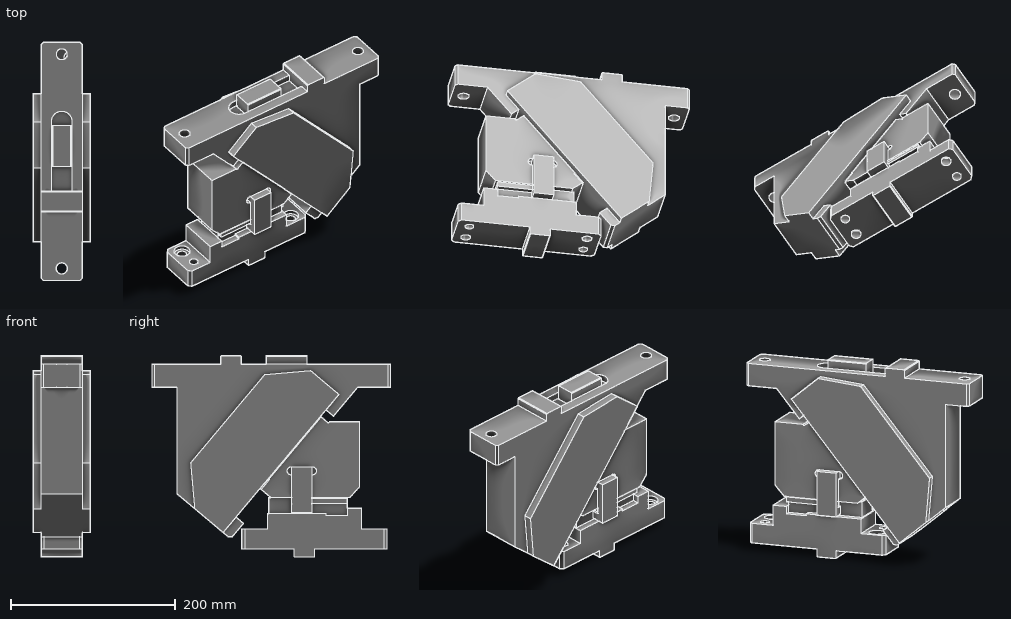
import cadquery as cq
import math


BODY_WIDTH = 50.2
OVERALL_WIDTH = 70.0
KEY_LENGTH = 25.2
KEY_CHAMFER = 1.0

SLOPE_ANGLE = 50
SLOPE_TOP_Y = 82.5
SLOPE_TOP_Z = -36.8
SLOPE_COS = math.cos(math.radians(SLOPE_ANGLE))
SLOPE_SIN = math.sin(math.radians(SLOPE_ANGLE))
FLANGE_DEPTH = 12.0

PLATE_LENGTH = 290.0
PLATE_THICKNESS = 28.0
PLATE_CORNER = 3.0
HOLDER_FRONT_Y = -114.8
HOLDER_BOTTOM_Z = -210.0
CHEEK_LENGTH = 219.2
CHEEK_HEIGHT = 84.7
CHEEK_CORNER = 39.7
RECESS_START = 24.6
RECESS_END = 194.5
HOLDER_KEY_BACK_Y = -36.2
HOLDER_KEY_HEIGHT = 10.5
SLOT_WIDTH = 25.2
SLOT_DEPTH = 8.7
SLOT_BACK_Y = 61.0
BLOCK_WIDTH = 23.5
BLOCK_LENGTH = 50.0
BLOCK_CENTER_Y = 18.5
PLATE_HOLE_DIAMETER = 13.3
PLATE_HOLE_SPACING = 260.5

SLIDER_BACK_Y = 107.3
SLIDER_TOP_Z = -70.0
SLIDER_BOTTOM_Z = -162.5
SLIDER_CORNER_LENGTH = 12.0
SLIDER_CORNER_HEIGHT = 13.0
SLIDER_SHOULDER_DEPTH = 12.5
SLIDER_START = 34.8
SLIDER_RELIEF_START = 133.5
SLIDER_END = 149.4
SLIDER_EDGE_CHAMFER = 1.0
RELIEF_SIZE = 1.7

HOOK_CENTER_Y = 37.0
HOOK_LENGTH = 24.6
HOOK_TOP_Z = -125.0
HOOK_BOTTOM_Z = -180.0
HOOK_OUTER_X = 33.5
HOOK_POCKET_LENGTH = 35.7
HOOK_POCKET_HEIGHT = 9.5
HOOK_POCKET_DEPTH = 5.8
FOOT_CLEARANCE = 1.0

BASE_BACK_Y = 141.0
BASE_LENGTH = 177.0
BASE_TOP_Z = -200.0
BASE_THICKNESS = 24.6
BASE_CORNER = 3.8
BASE_KEY_BACK_Y = 52.8
BASE_KEY_HEIGHT = 10.0
RISER_BACK_Y = 110.0
RISER_FRONT_Y = -4.5
STOP_TOP_Z = -175.0
GROOVE_FLOOR_Z = -184.2
GROOVE_FRONT_Y = 66.7
LEDGE_Z = -181.8
RAIL_BACK_Y = 92.5
RAIL_FRONT_Y = -3.2
WEB_WIDTH = 34.2
HEAD_WIDTH = 47.5
HEAD_TOP_Z = -163.3
HEAD_BOTTOM_Z = -169.5
HEAD_FRONT_Y = 26.7
BASE_HOLE_INSET = 15.7
BASE_HOLE_OFFSET_X = 12.2
DOWEL_HOLE_DIAMETER = 10.5
SCREW_HOLE_DIAMETER = 11.5
COUNTERBORE_DIAMETER = 19.0
COUNTERBORE_DEPTH = 5.2


def on_slope(along, out):
    """(Y, Z) of a point given in the inclined frame."""
    y = SLOPE_TOP_Y - along * SLOPE_COS - out * SLOPE_SIN
    z = SLOPE_TOP_Z - along * SLOPE_SIN + out * SLOPE_COS
    return y, z


def slope_point_at_z(along, z):
    """Point at height z on the line across the slope at the given distance along it."""
    out = (z - SLOPE_TOP_Z + along * SLOPE_SIN) / SLOPE_COS
    return on_slope(along, out)


def slope_point_at_y(along, y):
    """Point at position y on the line across the slope at the given distance along it."""
    out = (SLOPE_TOP_Y - y - along * SLOPE_COS) / SLOPE_SIN
    return on_slope(along, out)


def parallel_point_at_z(out, z):
    """Point at height z on the line parallel to the slope at the given offset."""
    along = (SLOPE_TOP_Z + out * SLOPE_COS - z) / SLOPE_SIN
    return on_slope(along, out)


def profile(points, width):
    """Prism of a Y-Z outline, centred on X = 0."""
    return cq.Workplane("YZ").polyline(points).close().extrude(width / 2, both=True)


def box(x_min, x_max, y_min, y_max, z_min, z_max):
    size = (x_max - x_min, y_max - y_min, z_max - z_min)
    return cq.Workplane("XY").box(*size, centered=False).translate((x_min, y_min, z_min))


def centred_box(width, y_min, y_max, z_min, z_max):
    return box(-width / 2, width / 2, y_min, y_max, z_min, z_max)


def make_holder():
    half_length = PLATE_LENGTH / 2
    half_slot = SLOT_WIDTH / 2
    key_front_y = HOLDER_KEY_BACK_Y - KEY_LENGTH

    plate = centred_box(BODY_WIDTH, -half_length, half_length, -PLATE_THICKNESS, 0)
    plate = plate.edges("|Z").chamfer(PLATE_CORNER)
    core = profile(
        [
            (HOLDER_FRONT_Y, -PLATE_THICKNESS),
            parallel_point_at_z(-FLANGE_DEPTH, -PLATE_THICKNESS),
            on_slope(RECESS_START, -FLANGE_DEPTH),
            on_slope(RECESS_START, 0),
            on_slope(RECESS_END, 0),
            on_slope(RECESS_END, -FLANGE_DEPTH),
            parallel_point_at_z(-FLANGE_DEPTH, HOLDER_BOTTOM_Z),
            slope_point_at_z(CHEEK_LENGTH, HOLDER_BOTTOM_Z),
            slope_point_at_y(CHEEK_LENGTH, HOLDER_FRONT_Y),
        ],
        BODY_WIDTH,
    )
    cheeks = profile(
        [
            on_slope(0, 0),
            on_slope(0, CHEEK_HEIGHT - CHEEK_CORNER),
            on_slope(CHEEK_CORNER, CHEEK_HEIGHT),
            on_slope(CHEEK_LENGTH - CHEEK_CORNER, CHEEK_HEIGHT),
            on_slope(CHEEK_LENGTH, CHEEK_HEIGHT - CHEEK_CORNER),
            on_slope(CHEEK_LENGTH, 0),
        ],
        OVERALL_WIDTH,
    )
    key = centred_box(BODY_WIDTH, key_front_y, HOLDER_KEY_BACK_Y, 0, HOLDER_KEY_HEIGHT)
    key = key.edges("|X and >Z").chamfer(KEY_CHAMFER)
    holder = plate.union(core).union(cheeks).union(key)

    slot = (
        cq.Workplane("XY")
        .moveTo(-half_slot, HOLDER_KEY_BACK_Y)
        .lineTo(half_slot, HOLDER_KEY_BACK_Y)
        .lineTo(half_slot, SLOT_BACK_Y - half_slot)
        .threePointArc((0, SLOT_BACK_Y), (-half_slot, SLOT_BACK_Y - half_slot))
        .close()
        .extrude(-SLOT_DEPTH)
    )
    holder = holder.cut(slot)

    block = centred_box(
        BLOCK_WIDTH,
        BLOCK_CENTER_Y - BLOCK_LENGTH / 2,
        BLOCK_CENTER_Y + BLOCK_LENGTH / 2,
        -SLOT_DEPTH,
        HOLDER_KEY_HEIGHT,
    )
    holder = holder.union(block.edges("|Y and >Z").chamfer(KEY_CHAMFER))

    holes = (
        cq.Workplane("XY")
        .rarray(3, PLATE_HOLE_SPACING, 1, 2)
        .circle(PLATE_HOLE_DIAMETER / 2)
        .extrude(-PLATE_THICKNESS)
    )
    return holder.cut(holes)


def make_hook():
    """Return hook on the -X side: a strap, a tab into the slider pocket and a foot under the rail head."""
    front_y = HOOK_CENTER_Y - HOOK_LENGTH / 2
    back_y = HOOK_CENTER_Y + HOOK_LENGTH / 2
    slider_side_x = -BODY_WIDTH / 2
    tab_inner_x = slider_side_x + HOOK_POCKET_DEPTH
    foot_top_z = HEAD_BOTTOM_Z - FOOT_CLEARANCE

    strap = box(-HOOK_OUTER_X, slider_side_x, front_y, back_y, HOOK_BOTTOM_Z, HOOK_TOP_Z)
    tab = box(slider_side_x, tab_inner_x, front_y, back_y, HOOK_TOP_Z - HOOK_POCKET_HEIGHT, HOOK_TOP_Z)
    foot = box(slider_side_x, -WEB_WIDTH / 2, front_y, back_y, HOOK_BOTTOM_Z, foot_top_z)
    return strap.union(tab).union(foot)


def make_hook_pocket():
    """Round-ended pocket for the hook tab on the -X side of the slider."""
    return (
        cq.Workplane("YZ", origin=(-BODY_WIDTH / 2, HOOK_CENTER_Y, HOOK_TOP_Z - HOOK_POCKET_HEIGHT / 2))
        .slot2D(HOOK_POCKET_LENGTH, HOOK_POCKET_HEIGHT)
        .extrude(HOOK_POCKET_DEPTH)
    )


def make_slider():
    slider = profile(
        [
            (SLIDER_BACK_Y, SLIDER_TOP_Z),
            parallel_point_at_z(-SLIDER_SHOULDER_DEPTH, SLIDER_TOP_Z),
            on_slope(SLIDER_START, -SLIDER_SHOULDER_DEPTH),
            on_slope(SLIDER_START, 0),
            on_slope(SLIDER_END, 0),
            slope_point_at_z(SLIDER_END, SLIDER_BOTTOM_Z),
            (SLIDER_BACK_Y - SLIDER_CORNER_LENGTH, SLIDER_BOTTOM_Z),
            (SLIDER_BACK_Y, SLIDER_BOTTOM_Z + SLIDER_CORNER_HEIGHT),
        ],
        BODY_WIDTH,
    )

    middle_y, middle_z = on_slope((SLIDER_START + SLIDER_END) / 2, 0)
    for side_x in (-BODY_WIDTH / 2, BODY_WIDTH / 2):
        long_edge = cq.NearestToPointSelector((side_x, middle_y, middle_z))
        slider = slider.edges(long_edge).chamfer(SLIDER_EDGE_CHAMFER)
    relief_outline = [
        on_slope(SLIDER_RELIEF_START, 0),
        on_slope(SLIDER_END, 0),
        on_slope(SLIDER_END, -RELIEF_SIZE),
        on_slope(SLIDER_RELIEF_START, -RELIEF_SIZE),
    ]
    relief = profile(relief_outline, BODY_WIDTH)
    slider = slider.cut(relief.cut(profile(relief_outline, BODY_WIDTH - 2 * RELIEF_SIZE)))

    pocket = make_hook_pocket()
    hook = make_hook()
    slider = slider.cut(pocket).cut(pocket.mirror("YZ"))
    return slider.union(hook).union(hook.mirror("YZ"))


def base_bores(places, diameter, depth):
    """Vertical bores going down from the top of the base plate."""
    plane = cq.Workplane("XY", origin=(0, 0, BASE_TOP_Z))
    return plane.pushPoints(places).circle(diameter / 2).extrude(-depth)


def make_base():
    base_front_y = BASE_BACK_Y - BASE_LENGTH
    base_bottom_z = BASE_TOP_Z - BASE_THICKNESS

    plate = centred_box(BODY_WIDTH, base_front_y, BASE_BACK_Y, base_bottom_z, BASE_TOP_Z)
    plate = plate.edges("|Z").chamfer(BASE_CORNER)
    riser = profile(
        [
            (RISER_BACK_Y, BASE_TOP_Z),
            (RISER_BACK_Y, STOP_TOP_Z),
            (RAIL_BACK_Y, STOP_TOP_Z),
            (RAIL_BACK_Y, GROOVE_FLOOR_Z),
            (GROOVE_FRONT_Y, GROOVE_FLOOR_Z),
            (GROOVE_FRONT_Y, LEDGE_Z),
            (RISER_FRONT_Y, LEDGE_Z),
            (RISER_FRONT_Y, BASE_TOP_Z),
        ],
        BODY_WIDTH,
    )
    key = centred_box(
        BODY_WIDTH,
        BASE_KEY_BACK_Y - KEY_LENGTH,
        BASE_KEY_BACK_Y,
        base_bottom_z - BASE_KEY_HEIGHT,
        base_bottom_z,
    )
    key = key.edges("|X and <Z").chamfer(KEY_CHAMFER)

    web = centred_box(WEB_WIDTH, RAIL_FRONT_Y, RAIL_BACK_Y, GROOVE_FLOOR_Z, HEAD_TOP_Z)
    head = centred_box(HEAD_WIDTH, HEAD_FRONT_Y, RAIL_BACK_Y, HEAD_BOTTOM_Z, HEAD_TOP_Z)
    pad = centred_box(WEB_WIDTH, RAIL_FRONT_Y, HEAD_FRONT_Y, HEAD_TOP_Z, SLIDER_BOTTOM_Z)
    base = plate.union(riser).union(key).union(web).union(head).union(pad)

    back_hole_y = BASE_BACK_Y - BASE_HOLE_INSET
    front_hole_y = base_front_y + BASE_HOLE_INSET
    dowel_places = [(-BASE_HOLE_OFFSET_X, back_hole_y), (BASE_HOLE_OFFSET_X, front_hole_y)]
    screw_places = [(BASE_HOLE_OFFSET_X, back_hole_y), (-BASE_HOLE_OFFSET_X, front_hole_y)]
    base = base.cut(base_bores(dowel_places, DOWEL_HOLE_DIAMETER, BASE_THICKNESS))
    base = base.cut(base_bores(screw_places, SCREW_HOLE_DIAMETER, BASE_THICKNESS))
    return base.cut(base_bores(screw_places, COUNTERBORE_DIAMETER, COUNTERBORE_DEPTH))


holder = make_holder()
slider = make_slider()
base = make_base()

result = cq.Compound.makeCompound([holder.val(), slider.val(), base.val()])